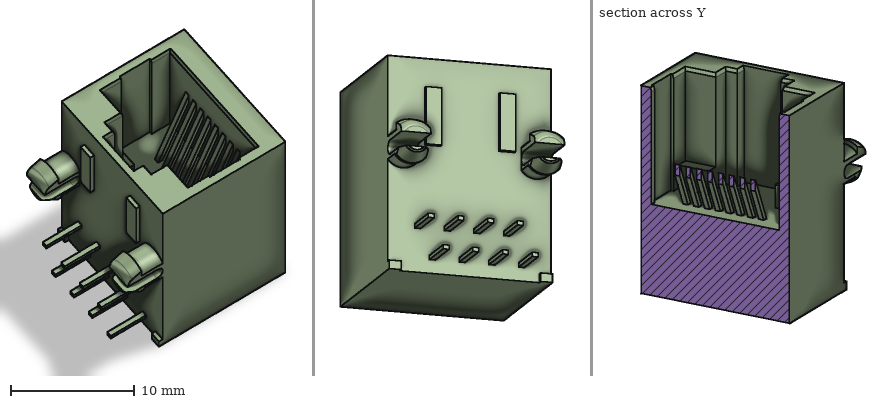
import cadquery as cq

body_width = 13.97
body_depth = 12.32
overall_depth = 15.88
body_height = 18.03

pocket_half_width = 5.97
pocket_back = 10.12
shoulder_level = 3.34
latch_half_width = 3.13
latch_ledge_level = 1.72
key_half_width = 2.03
key_bottom = 0.62
lead_in_x = 0.1
lead_in_y = 0.16
lead_in_depth = 0.32
notch_half_width = 6.23
notch_low = 5.27
notch_high = 8.32
stop_level = 4.5
stop_height = 2.0

contact_count = 8
contact_pitch = 1.016
contact_width = 0.46
contact_reach = 3.09
contact_top_depth = 3.3
contact_drop = 6.8
contact_thickness = 0.45
pocket_depth = contact_top_depth + contact_drop

pin_pitch = 2.54
pins_per_row = 4
pin_width = 0.5
pin_thickness = 0.35
pin_length = overall_depth - body_depth
lower_row_z = 1.33
row_spacing = 2.54
row_stagger = pin_pitch / 2

standoff = 0.39
rib_width = 1.34
rib_offset = 3.16
rib_bottom = 10.75
rib_height = 4.81
foot_width = 1.0
foot_height = 0.72

peg_width = 2.54
peg_offset = (body_width - peg_width) / 2
peg_length = pin_length
shaft_z = 10.255
shaft_radius = 1.585
slot_z = 10.18
upper_head_z = 10.1
lower_head_z = slot_z
slot_width = 1.17
upper_barb_start = 2.13
upper_barb_radius = 2.13
upper_nose_start = 3.09
upper_nose_radius = 1.84
upper_tip_radius = 1.2
lower_barb_start = 1.74
lower_crest_start = 2.0
lower_crest_end = 2.25
lower_barb_radius = 1.66
lower_rim_start = 3.5
lower_rim_radius = 1.06
lower_tip_radius = 0.88

overlap = 0.5


def box(x_range, y_range, z_range):
    """Axis-aligned block between the given limits."""
    size = [high - low for low, high in (x_range, y_range, z_range)]
    corner = (x_range[0], y_range[0], z_range[0])
    return cq.Workplane("XY").box(*size, centered=False).translate(corner)


def span(center, width):
    """Lower and upper limit of a width about a center."""
    return (center - width / 2, center + width / 2)


def centered_row(count, pitch):
    """Evenly spaced positions, centered on zero."""
    return [(i - (count - 1) / 2) * pitch for i in range(count)]


def plug_outline(grow_x, grow_y, z):
    """Stepped plug outline at height z; the sides and all levels but the key bottom move outward."""
    key_x = key_half_width + grow_x
    latch_x = latch_half_width + grow_x
    wall_x = pocket_half_width + grow_x
    ledge_y = latch_ledge_level - grow_y
    shoulder_y = shoulder_level - grow_y
    half = [
        (key_x, key_bottom),
        (key_x, ledge_y),
        (latch_x, ledge_y),
        (latch_x, shoulder_y),
        (wall_x, shoulder_y),
        (wall_x, pocket_back + grow_y),
    ]
    mirrored = [(-x, y) for x, y in reversed(half)]
    return cq.Wire.makePolygon([cq.Vector(x, y, z) for x, y in half + mirrored], close=True)


def plug_cavity():
    """Plug pocket with its two stop blocks, side notches and chamfered mouth, to be cut away."""
    floor_z = body_height - pocket_depth
    bottom = plug_outline(0, 0, floor_z)
    cavity = cq.Workplane(cq.Solid.extrudeLinear(bottom, [], cq.Vector(0, 0, pocket_depth)))
    for side in (-1, 1):
        x_range = sorted((side * latch_half_width, side * pocket_half_width))
        stop = box(x_range, (shoulder_level, stop_level), (floor_z, floor_z + stop_height))
        cavity = cavity.cut(stop)
    notch = box((-notch_half_width, notch_half_width), (notch_low, notch_high), (floor_z, body_height))
    narrow = plug_outline(0, 0, body_height - lead_in_depth)
    wide = plug_outline(lead_in_x, lead_in_y, body_height)
    lead_in = cq.Solid.makeLoft([narrow, wide], True)
    return cavity.union(notch).union(cq.Workplane(lead_in))


def contacts():
    """Row of sloping springs leaning out of the back wall toward the board face."""
    top_z = body_height - contact_top_depth
    bottom_z = top_z - contact_drop
    tip_y = pocket_back - contact_reach
    root_drop = contact_thickness * contact_drop / contact_reach
    strip = (
        cq.Workplane("YZ")
        .moveTo(pocket_back, top_z)
        .lineTo(tip_y, bottom_z)
        .lineTo(tip_y + contact_thickness, bottom_z)
        .lineTo(pocket_back, top_z - root_drop)
        .close()
        .extrude(contact_width / 2, both=True)
    )
    return [strip.translate((x, 0, 0)) for x in centered_row(contact_count, contact_pitch)]


def pins():
    """Two staggered rows of solder pins."""
    row = []
    for row_index, shift in enumerate((row_stagger / 2, -row_stagger / 2)):
        z_range = span(lower_row_z + row_index * row_spacing, pin_thickness)
        for x in centered_row(pins_per_row, pin_pitch):
            row.append(box(span(x + shift, pin_width), (-pin_length, overlap), z_range))
    return row


def standoffs():
    """Two ribs and two corner feet that rest on the board."""
    depth = (-standoff, overlap)
    foot_offset = (body_width - foot_width) / 2
    pads = []
    for side in (-1, 1):
        pads.append(box(span(side * rib_offset, rib_width), depth, (rib_bottom, rib_bottom + rib_height)))
        pads.append(box(span(side * foot_offset, foot_width), depth, (0, foot_height)))
    return pads


def revolved_about_peg_axis(profile, z):
    """Turn a (radius, distance from the board face) profile about the peg axis at height z."""
    turned = profile.close().revolve(360, (0, 0, 0), (0, 1, 0))
    return turned.rotate((0, 0, 0), (1, 0, 0), 180).translate((0, 0, z))


def shaft(length):
    """Round peg shaft of the given length, rooted in the housing."""
    profile = (
        cq.Workplane("XY")
        .moveTo(0, -overlap)
        .lineTo(shaft_radius, -overlap)
        .lineTo(shaft_radius, length)
        .lineTo(0, length)
    )
    return revolved_about_peg_axis(profile, shaft_z)


def upper_barb():
    """Tapered barb with a rounded nose."""
    profile = (
        cq.Workplane("XY")
        .moveTo(0, upper_barb_start)
        .lineTo(upper_barb_radius, upper_barb_start)
        .lineTo(upper_nose_radius, upper_nose_start)
        .tangentArcPoint((upper_tip_radius, peg_length), relative=False)
        .lineTo(0, peg_length)
    )
    return revolved_about_peg_axis(profile, upper_head_z)


def lower_barb():
    """Barb with a sloped back, a short crest, a long taper and a small chamfer at the tip."""
    back_radius = shaft_radius - (shaft_z - lower_head_z)
    profile = (
        cq.Workplane("XY")
        .moveTo(0, lower_barb_start)
        .lineTo(back_radius, lower_barb_start)
        .lineTo(lower_barb_radius, lower_crest_start)
        .lineTo(lower_barb_radius, lower_crest_end)
        .lineTo(lower_rim_radius, lower_rim_start)
        .lineTo(lower_tip_radius, peg_length)
        .lineTo(0, peg_length)
    )
    return revolved_about_peg_axis(profile, lower_head_z)


def peg_slot():
    """Round-ended slot that splits the peg down to the board face."""
    radius = slot_width / 2
    return (
        cq.Workplane("YZ")
        .moveTo(-peg_length, slot_z - radius)
        .lineTo(-radius, slot_z - radius)
        .threePointArc((0, slot_z), (-radius, slot_z + radius))
        .lineTo(-peg_length, slot_z + radius)
        .close()
        .extrude(peg_width / 2, both=True)
    )


def peg():
    """Flat-sided split peg with a different barb on each half."""
    x_range = span(0, peg_width)
    y_range = (-peg_length, overlap)
    clearance = 2 * upper_barb_radius
    upper_space = box(x_range, y_range, (slot_z, slot_z + clearance))
    lower_space = box(x_range, y_range, (slot_z - clearance, slot_z))
    upper = shaft(upper_barb_start).union(upper_barb()).intersect(upper_space)
    lower = shaft(lower_barb_start).union(lower_barb()).intersect(lower_space)
    return upper.union(lower).cut(peg_slot())


def pegs():
    """One peg flush with each side of the housing."""
    return [peg().translate((side * peg_offset, 0, 0)) for side in (-1, 1)]


housing = box(span(0, body_width), (0, body_depth), (0, body_height))
result = housing.cut(plug_cavity())
for piece in contacts() + pins() + standoffs() + pegs():
    result = result.union(piece)
result = result.solids()